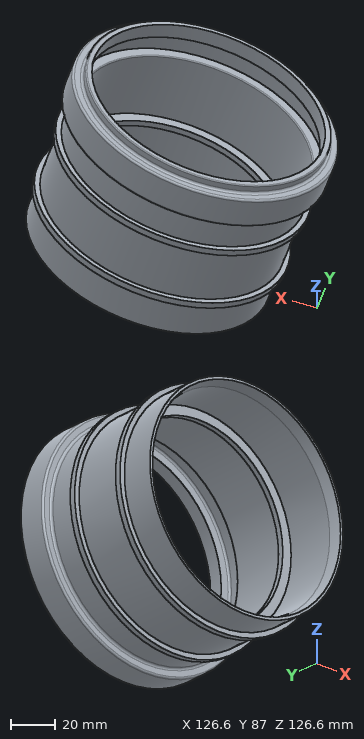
import cadquery as cq

length = 87.0
body_diameter = 116.2
neck_diameter = 116.5
bore_diameter = 110.4
socket_diameter = 110.6

mouth_diameter = 113.2
lead_in_depth = 6.0

lip_diameter = 100.4
lip_start = 32.0
lip_width = 2.9

rib_diameter = 121.5
rib_width = 3.0
rib_starts = (17.3, 48.1)

collar_diameter = 126.6
collar_start = 67.2
collar_end = 82.5
collar_edge_radius = 1.0
collar_root_radius = 1.3
groove_diameter = 120.8
wall = (collar_diameter - groove_diameter) / 2
groove_start = 68.9
groove_end = collar_end - wall
groove_lip_radius = 0.5
groove_floor_radius = 1.0
socket_edge_radius = 0.5


def cylinder(diameter, start, width):
    """Cylinder along +Y whose first face lies `start` from the spigot mouth."""
    plane = cq.Workplane(cq.Plane((0, start - length / 2, 0), (1, 0, 0), (0, 1, 0)))
    return plane.circle(diameter / 2).extrude(width)


def revolve_about_y(points):
    """Solid of revolution from (radius, distance from spigot mouth) points."""
    placed = [(radius, distance - length / 2) for radius, distance in points]
    return cq.Workplane("XY").polyline(placed).close().revolve(360, (0, 0, 0), (0, 1, 0))


def make_collar():
    """Outer collar: rounded rims and flared roots where it meets the body and the neck."""
    outer = collar_diameter / 2
    edge = collar_edge_radius
    root = collar_root_radius
    body = body_diameter / 2
    neck = neck_diameter / 2
    offset = -length / 2
    low = collar_start + offset
    high = collar_end + offset
    return (
        cq.Workplane("XY")
        .moveTo(0, low - root)
        .lineTo(body, low - root)
        .radiusArc((body + root, low), root)
        .lineTo(outer - edge, low)
        .radiusArc((outer, low + edge), -edge)
        .lineTo(outer, high - edge)
        .radiusArc((outer - edge, high), -edge)
        .lineTo(neck + root, high)
        .radiusArc((neck, high + root), root)
        .lineTo(0, high + root)
        .close()
        .revolve(360, (0, 0, 0), (0, 1, 0))
    )


def make_outside():
    body = cylinder(body_diameter, 0, collar_end)
    neck = cylinder(neck_diameter, collar_end, length - collar_end)
    outside = body.union(neck.faces(">Y").edges().fillet(socket_edge_radius))
    for start in rib_starts:
        outside = outside.union(cylinder(rib_diameter, start, rib_width))
    return outside.union(make_collar())


def make_groove():
    """Seal groove with a rounded spigot-side lip and a rounded socket-side floor corner."""
    bore = socket_diameter / 2
    floor = groove_diameter / 2
    lip = groove_lip_radius
    corner = groove_floor_radius
    low = groove_start - length / 2
    high = groove_end - length / 2
    return (
        cq.Workplane("XY")
        .moveTo(0, low - lip)
        .lineTo(bore, low - lip)
        .radiusArc((bore + lip, low), lip)
        .lineTo(floor, low)
        .lineTo(floor, high - corner)
        .radiusArc((floor - corner, high), -corner)
        .lineTo(0, high)
        .close()
        .revolve(360, (0, 0, 0), (0, 1, 0))
    )


def make_cavity():
    lip_end = lip_start + lip_width
    lead_in = revolve_about_y([
        (0, 0),
        (mouth_diameter / 2, 0),
        (bore_diameter / 2, lead_in_depth),
        (0, lead_in_depth),
    ])
    cavity = lead_in.union(cylinder(bore_diameter, 0, lip_start))
    cavity = cavity.union(cylinder(lip_diameter, 0, length))
    cavity = cavity.union(cylinder(socket_diameter, lip_end, length - lip_end))
    return cavity.union(make_groove())


result = make_outside().cut(make_cavity())